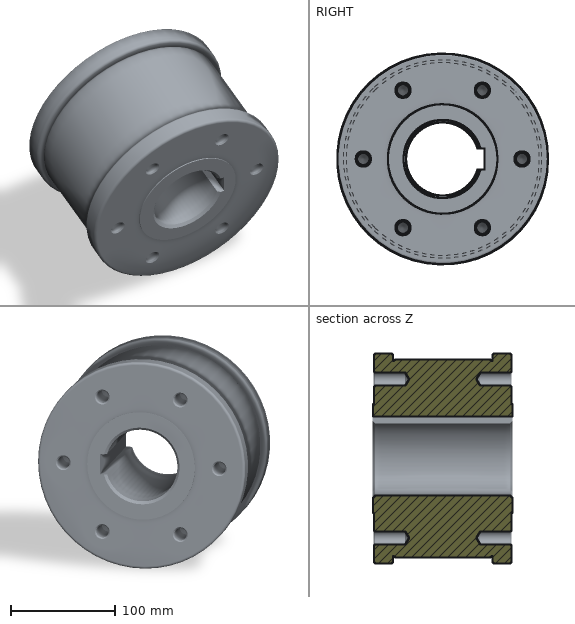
import cadquery as cq
import math

total_length = 134.0
hub_projection = 1.0
hub_radius = 105.0 / 2
flange_radius = 202.0 / 2
flange_width = 18.5
drum_radius = 190.0 / 2
edge_round = 2.5

bore_radius = 70.0 / 2
bore_chamfer = 2.5
keyway_width = 20.0
keyway_depth = 4.9

hole_count = 6
hole_circle_radius = 152.0 / 2
hole_radius = 12.0 / 2
hole_mouth_radius = 14.5 / 2
hole_depth = 30.0
drill_half_angle = math.radians(118.0 / 2)

hub_face = total_length / 2
flange_face = hub_face - hub_projection
flange_shoulder = flange_face - flange_width


def cylinder_along_x(radius, start, end):
    """Solid cylinder on the X axis between two X positions."""
    return cq.Workplane("YZ").workplane(offset=start).circle(radius).extrude(end - start)


def revolve_about_x(points):
    """Solid of revolution from a closed outline of (x, radius) points."""
    return cq.Workplane("XY").polyline(points).close().revolve(360, (0, 0, 0), (1, 0, 0))


def make_flange():
    """Flange at the +X end, with both rim edges rounded."""
    flange = cylinder_along_x(flange_radius, flange_shoulder, flange_face)
    return flange.edges().fillet(edge_round)


def make_bore():
    """Through bore with a 45 degree chamfer at both ends."""
    mouth_radius = bore_radius + bore_chamfer
    chamfer_start = hub_face - bore_chamfer
    return revolve_about_x([
        (-hub_face, 0),
        (-hub_face, mouth_radius),
        (-chamfer_start, bore_radius),
        (chamfer_start, bore_radius),
        (hub_face, mouth_radius),
        (hub_face, 0),
    ])


def make_keyway():
    """Through keyway on the +Y side of the bore."""
    keyway_reach = bore_radius + keyway_depth
    return cq.Workplane("XY").box(
        total_length, keyway_reach, keyway_width, centered=(True, False, True)
    )


def make_end_hole():
    """Blind hole on the X axis, entering at the +X flange face: chamfered mouth, drill-point bottom."""
    mouth_chamfer = hole_mouth_radius - hole_radius
    hole_bottom = flange_face - hole_depth
    tip_length = hole_radius / math.tan(drill_half_angle)
    return revolve_about_x([
        (flange_face, 0),
        (flange_face, hole_mouth_radius),
        (flange_face - mouth_chamfer, hole_radius),
        (hole_bottom, hole_radius),
        (hole_bottom - tip_length, 0),
    ])


def make_drum():
    """Drum between the flanges, with both of its end edges rounded."""
    return cylinder_along_x(drum_radius, -flange_shoulder, flange_shoulder).edges().fillet(edge_round)


def make_body():
    """Drum, hub and two flanges; the drum rounds leave a notch beside each flange."""
    hub = cylinder_along_x(hub_radius, -hub_face, hub_face)
    flange = make_flange()
    return make_drum().union(hub).union(flange).union(flange.mirror("YZ"))


def cut_end_holes(body):
    """Cut the hole circle into both end faces, the first hole on the +Y side."""
    first_hole = make_end_hole().translate((0, hole_circle_radius, 0))
    for index in range(hole_count):
        angle = index * 360.0 / hole_count
        hole = first_hole.rotate((0, 0, 0), (1, 0, 0), angle)
        body = body.cut(hole).cut(hole.mirror("YZ"))
    return body


result = cut_end_holes(make_body().cut(make_bore()).cut(make_keyway()))